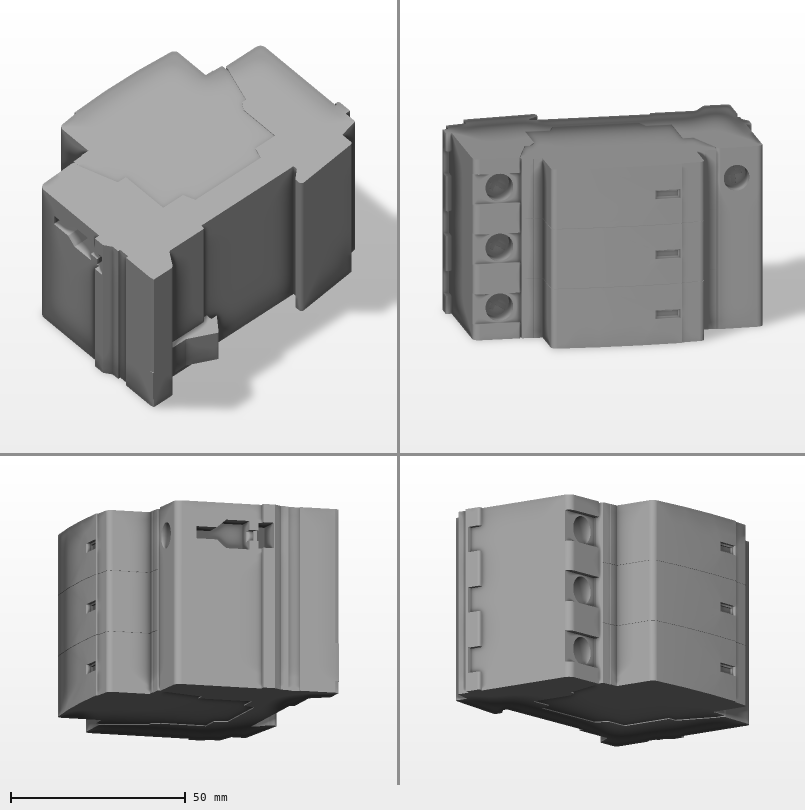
import cadquery as cq


width = 53.4
pole_pitch = 17.7
pole_centers = [width / 2 + k * pole_pitch for k in (-1, 0, 1)]
pole_joints = [width / 2 + k * pole_pitch / 2 for k in (-1, 1)]
last_pole = pole_centers[-1]

housing_front = 15.8
housing_bottom = 1.7
housing_top = 86.3
shoulder_bottom = 72.6
part_top = 88.0
corner_radius = 1.9
rail_face = 58.1
foot_back = 64.9
foot_chamfer_length = 1.2
foot_chamfer_depth = 0.3
lower_rib_start = 41.6
lower_rib_end = 45.1
upper_lip_start = 47.5
upper_lip_end = 52.45

module_inset = 0.3
module_shoulder = 14.4
nose_bottom = 21.6
nose_top = 66.4
nose_top_front = 1.1
nose_bottom_front = 1.85
nose_radius = 1.7
nose_step_height = 28.6
shoulder_step_size = 0.2
joint_gap = 0.2
joint_depth = 0.2
joint_reach = 15.0

clip_start = 3.4
clip_end = 14.4

terminal_pocket_width = 9.1
terminal_pocket_floor = housing_front + corner_radius
upper_screw_y = 78.4
upper_hole_diameter = 8.1
upper_hole_floor = 24.1
lower_screw_y = 9.6
lower_hole_diameter = 7.6
lower_hole_floor = 21.6
screw_slot_width = 1.3
screw_slot_depth = 0.35

lip_cut_width = 7.4
lower_lip_cut_start = 40.7
lip_cut_length = 4.05
lower_lip_cut_depth = 7.0
keyhole_start = 22.0
keyhole_taper_start = 28.2
keyhole_taper_end = 31.0
keyhole_end = 38.0
keyhole_neck = 3.5
keyhole_width = 8.3
keyhole_depth = 6.6
channel_width = 3.1
channel_depth = 2.6
channel_round = 1.0
channel_ledge_start = 39.7
channel_ledge_depth = 1.4

window_top = 36.3
window_bottom = 29.0
window_width = 2.7
window_floor = 1.3
window_rim = 0.5
window_inner_floor = 1.9


def round_corner(solid, x, y, radius):
    """Fillet the edge parallel to Z that stands nearest to (x, y)."""
    nearest = cq.selectors.NearestToPointSelector((x, y, width / 2))
    return solid.edges("|Z").edges(nearest).fillet(radius)


def box(x_range, y_range, z_range):
    """Box between the given limits."""
    size = [high - low for low, high in (x_range, y_range, z_range)]
    return cq.Workplane("XY").box(*size, centered=False).translate((x_range[0], y_range[0], z_range[0]))


def centered_range(middle, size):
    return (middle - size / 2, middle + size / 2)


def make_housing():
    """Housing prism with the ribs, the rail seat and the foot in its outline."""
    upper_hook = [
        (upper_lip_end, housing_top), (56.6, housing_top),
        (rail_face, 80.1), (62.5, 80.1), (foot_back, 58.3), (62.3, 58.3),
        (59.5, 61.4), (rail_face, 61.4),
    ]
    foot = [
        (rail_face, 26.1), (59.5, 26.1), (59.5, 12.7), (foot_back, 9.2),
        (foot_back, housing_bottom + foot_chamfer_depth),
        (foot_back - foot_chamfer_length, housing_bottom),
    ]
    groove_depth = 0.8
    lower_edge = [
        (53.2, housing_bottom), (53.2, housing_bottom + groove_depth),
        (49.8, housing_bottom + groove_depth), (49.8, housing_bottom),
        (47.5, housing_bottom), (lower_rib_end, 0), (lower_rib_start, 0),
        (lower_rib_start, housing_bottom),
    ]
    lip_radius = 0.7
    shoulder_chamfer = 0.35
    behind_module_seam = 17.6
    lip_root = housing_top + 0.35
    housing = (
        cq.Workplane("XY")
        .moveTo(housing_front, housing_bottom)
        .lineTo(15.2, 14.3)
        .threePointArc((15.4, 15.05), (16.0, 15.6))
        .lineTo(behind_module_seam, nose_bottom)
        .lineTo(behind_module_seam, shoulder_bottom)
        .lineTo(housing_front + shoulder_chamfer, shoulder_bottom)
        .lineTo(housing_front, shoulder_bottom + shoulder_chamfer)
        .lineTo(housing_front, housing_top)
        .lineTo(upper_lip_start + lip_radius, housing_top)
        .lineTo(upper_lip_start + lip_radius, lip_root)
        .lineTo(upper_lip_start, lip_root)
        .lineTo(upper_lip_start, part_top - lip_radius)
        .radiusArc((upper_lip_start + lip_radius, part_top), lip_radius)
        .lineTo(upper_lip_end, part_top)
    )
    for point in upper_hook + foot + lower_edge:
        housing = housing.lineTo(*point)
    housing = housing.close().extrude(width)
    rounded_corners = [
        (housing_front, housing_bottom, corner_radius),
        (housing_front, housing_top, corner_radius),
        (56.6, housing_top, 0.4),
        (62.5, 80.1, 0.8),
        (foot_back, 58.3, 1.0),
        (59.5, 26.1, 0.5),
        (59.5, 12.7, 1.1),
        (foot_back, 9.2, 1.3),
    ]
    for x, y, radius in rounded_corners:
        housing = round_corner(housing, x, y, radius)
    return housing


def make_module(side, inset=0):
    """Front module: a bulged nose on a stepped body that sits in the housing.

    The module stays clear of both housing sides by `side`, and its outline is
    drawn in by `inset`.
    """
    shoulder_step = module_shoulder + shoulder_step_size
    upper_body = [
        (module_shoulder, nose_top), (module_shoulder, 69.2), (shoulder_step, 69.2),
        (14.8, 72.3), (17.4, 72.4),
        (29.5, 68.55), (29.5, 67.0), (32.0, 65.4), (45.6, 65.4), (45.6, 57.9), (49.4, 56.5),
    ]
    lower_body = [
        (49.4, 31.6), (45.6, 30.2), (45.6, 22.6), (29.5, 22.6), (29.5, 19.5),
        (17.4, 15.5), (14.8, 15.6), (shoulder_step, 19.0), (module_shoulder, 19.0),
        (module_shoulder, nose_bottom), (nose_bottom_front, nose_bottom),
    ]
    module = (
        cq.Workplane("XY", origin=(0, 0, side))
        .moveTo(1.1, nose_step_height)
        .lineTo(0.5, nose_step_height)
        .threePointArc((0, 41.8), (nose_top_front, nose_top))
    )
    for point in upper_body + lower_body:
        module = module.lineTo(*point)
    length = width - 2 * side
    if inset:
        module = module.close().offset2D(-inset, "intersection").extrude(length)
    else:
        module = module.close().extrude(length)
    module = round_corner(module, nose_bottom_front, nose_bottom, nose_radius - inset)
    return round_corner(module, nose_top_front, nose_top, nose_radius - inset)


def make_joint_groove(middle):
    """Fine groove around the exposed part of the module between two poles."""
    slab = box((-0.9, joint_reach), (0, part_top), centered_range(middle, joint_gap))
    return slab.cut(make_module(module_inset, joint_depth))


def make_clip():
    """Spring clip behind the rail face and its pull tab in the foot corner."""
    hook = [
        (rail_face - 0.9, 28.25), (60.0, 28.25), (60.0, 30.4), (65.3, 26.4), (65.3, 26.05),
        (61.2, 17.6), (61.2, 8.8), (rail_face - 0.9, 8.8),
    ]
    clip_width = clip_end - clip_start
    clip = cq.Workplane("XY", origin=(0, 0, clip_start)).polyline(hook).close().extrude(clip_width)
    tab = box(
        (foot_back - foot_chamfer_length, foot_back),
        (housing_bottom, housing_bottom + 2 * foot_chamfer_depth),
        (clip_start, clip_end),
    )
    return clip.union(tab)


def make_screw_hole(y, z, diameter, floor, slot_lengths, angle):
    """Round screw access hole from the front with a cross recess in its floor."""
    at_floor = cq.Workplane("YZ", origin=(floor, y, z))
    hole = at_floor.circle(diameter / 2).extrude(-floor)
    for length, turn in zip(slot_lengths, (0, 90)):
        slot = at_floor.transformed(rotate=(0, 0, angle + turn)).rect(length, screw_slot_width)
        hole = hole.union(slot.extrude(screw_slot_depth))
    return hole


def make_upper_terminal(z):
    """Stepped-back shoulder, screw hole and lip cut of one upper terminal."""
    pocket = box(
        (module_shoulder, terminal_pocket_floor),
        (shoulder_bottom, part_top),
        centered_range(z, terminal_pocket_width),
    )
    hole = make_screw_hole(upper_screw_y, z, upper_hole_diameter, upper_hole_floor, (7.6, 4.75), 31)
    lip_cut = box(
        (upper_lip_start, upper_lip_start + lip_cut_length),
        (housing_top, part_top),
        centered_range(z, lip_cut_width),
    )
    return pocket.union(hole).union(lip_cut)


def make_lower_terminal(z):
    """Screw hole, keyhole-shaped wire opening and lip cut of the lower terminal."""
    hole = make_screw_hole(lower_screw_y, z, lower_hole_diameter, lower_hole_floor, (5.2, 6.7), -7)
    keyhole = (
        cq.Workplane("XZ", origin=(0, housing_bottom, z))
        .moveTo(keyhole_start, keyhole_neck / 2)
        .lineTo(keyhole_taper_start, keyhole_neck / 2)
        .lineTo(keyhole_taper_end, keyhole_width / 2)
        .lineTo(keyhole_end, keyhole_width / 2)
        .lineTo(keyhole_end, -keyhole_width / 2)
        .lineTo(keyhole_taper_end, -keyhole_width / 2)
        .lineTo(keyhole_taper_start, -keyhole_neck / 2)
        .lineTo(keyhole_start, -keyhole_neck / 2)
        .close()
        .extrude(-keyhole_depth)
    )
    channel = (
        cq.Workplane("XY", origin=(0, 0, z))
        .moveTo(keyhole_end, housing_bottom)
        .lineTo(keyhole_end, housing_bottom + channel_depth + channel_round)
        .radiusArc((keyhole_end + channel_round, housing_bottom + channel_depth), -channel_round)
        .lineTo(channel_ledge_start, housing_bottom + channel_depth)
        .lineTo(channel_ledge_start, housing_bottom + channel_ledge_depth)
        .lineTo(lower_lip_cut_start, housing_bottom + channel_ledge_depth)
        .lineTo(lower_lip_cut_start, housing_bottom)
        .close()
        .extrude(channel_width / 2, both=True)
    )
    lip_cut = box(
        (lower_lip_cut_start, lower_lip_cut_start + lip_cut_length),
        (0, housing_bottom + lower_lip_cut_depth),
        centered_range(z, lip_cut_width),
    )
    return hole.union(keyhole).union(channel).union(lip_cut)


def make_window(z):
    """Indicator window: a shallow recess with a smaller, deeper one inside it."""
    outer = box((-0.9, window_floor), (window_bottom, window_top), centered_range(z, window_width))
    inner = box(
        (-0.9, window_inner_floor),
        (window_bottom + window_rim, window_top - window_rim),
        centered_range(z, window_width - 2 * window_rim),
    )
    return outer.union(inner)


module = make_module(module_inset)
module_recess = make_module(0)
housing = make_housing()
for center in pole_centers:
    housing = housing.cut(make_upper_terminal(center))
housing = housing.cut(make_lower_terminal(last_pole))
housing = housing.cut(module_recess)

result = housing.union(module)
for joint in pole_joints:
    result = result.cut(make_joint_groove(joint))
for center in pole_centers:
    result = result.cut(make_window(center))
result = result.union(make_clip())